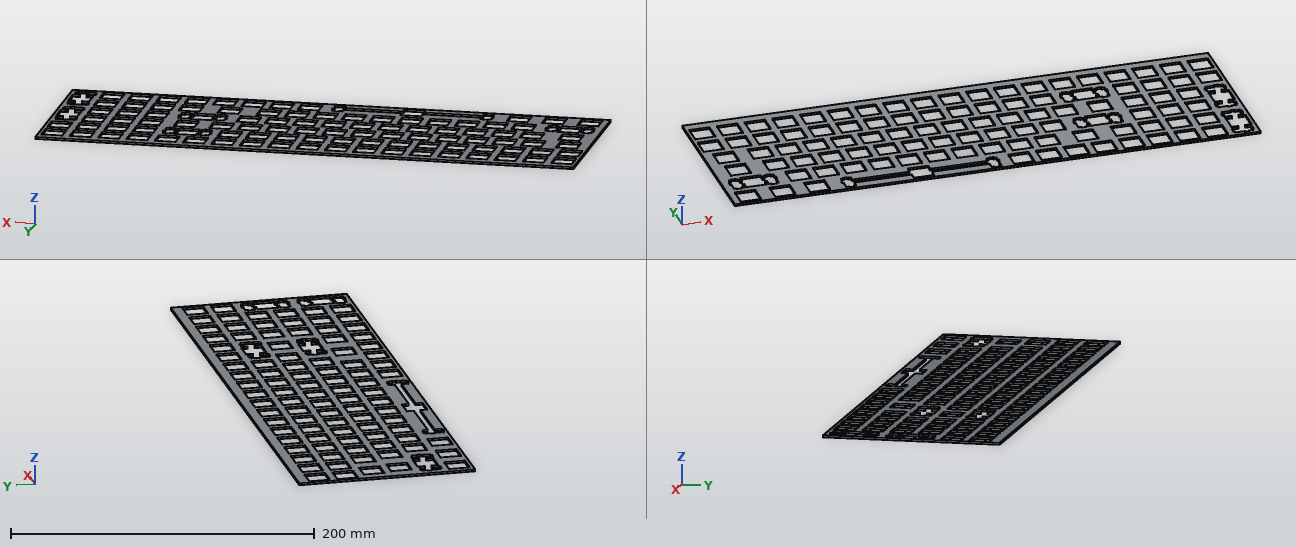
import cadquery as cq

PLATE_LENGTH = 362.0
UNITS_WIDE = 19
UNITS_DEEP = 6.25
UNIT = PLATE_LENGTH / UNITS_WIDE
PLATE_DEPTH = UNITS_DEEP * UNIT
THICKNESS = 1.5

WEB = 5.0
SWITCH_SIDE = UNIT - WEB
HALF_SWITCH = SWITCH_SIDE / 2

STABILIZER_OFFSET = 12.0
SPACEBAR_OFFSET = 50.0
HALF_WIRE_SLOT = 2.28
HOUSING_WIDTH = 7.0
HOUSING_TOP = HALF_SWITCH - 1.5
HOUSING_BOTTOM = 0.2 - HALF_SWITCH
NOTCH_WIDTH = 3.3
NOTCH_TOP = HALF_SWITCH - 0.55
NOTCH_BOTTOM = -HALF_SWITCH - 0.75
TAB_DEPTH = 0.85
TAB_TOP = HALF_WIRE_SLOT
TAB_BOTTOM = -0.5


def key_run(first, count):
    """Centres, in key units from the left edge, of neighbouring one-unit keys."""
    return [first + i for i in range(count)]


KEY_ROWS = [
    [0.625, 1.875, 3.125] + key_run(10.5, 8),
    key_run(2.75, 10) + [13.125] + key_run(14.5, 4),
    [0.875] + key_run(2.25, 11) + key_run(15.5, 3),
    [0.75] + key_run(2, 12) + [14.25] + key_run(15.5, 3),
    key_run(0.5, 13) + key_run(15.5, 4),
    key_run(0.5, 19),
]
FIRST_ROW = 0.5

STABILIZED_KEYS = [
    (14, 4.5, STABILIZER_OFFSET, 0),
    (13.875, 2.5, STABILIZER_OFFSET, 0),
    (1.125, 1.5, STABILIZER_OFFSET, 0),
    (6.875, 0.5, SPACEBAR_OFFSET, 0),
    (18.5, 3, STABILIZER_OFFSET, -90),
    (18.5, 1, STABILIZER_OFFSET, -90),
]


def block(left, right, bottom, top):
    """Cutter through the full plate thickness."""
    cutter = cq.Workplane("XY").box(right - left, top - bottom, THICKNESS, centered=False)
    return cutter.translate((left, bottom, 0))


def plate_position(across, up):
    """Plate coordinates of a place given in key units from the front left corner."""
    return (across * UNIT - PLATE_LENGTH / 2, up * UNIT - PLATE_DEPTH / 2)


def stabilizer_cutter(offset):
    """Switch opening joined by a wire slot to a stabilizer housing on either side."""
    outer = offset + HOUSING_WIDTH / 2
    right_side = (
        block(0, offset, -HALF_WIRE_SLOT, HALF_WIRE_SLOT)
        .union(block(offset - HOUSING_WIDTH / 2, outer, HOUSING_BOTTOM, HOUSING_TOP))
        .union(block(offset - NOTCH_WIDTH / 2, offset + NOTCH_WIDTH / 2, NOTCH_BOTTOM, NOTCH_TOP))
        .union(block(offset, outer + TAB_DEPTH, TAB_BOTTOM, TAB_TOP))
    )
    switch = block(-HALF_SWITCH, HALF_SWITCH, -HALF_SWITCH, HALF_SWITCH)
    return switch.union(right_side).union(right_side.mirror("YZ"))


plate = cq.Workplane("XY").box(PLATE_LENGTH, PLATE_DEPTH, THICKNESS, centered=(True, True, False))

switch_centres = [
    plate_position(across, FIRST_ROW + row)
    for row, keys in enumerate(KEY_ROWS)
    for across in keys
]
switches = cq.Workplane("XY").pushPoints(switch_centres).rect(SWITCH_SIDE, SWITCH_SIDE).extrude(THICKNESS)
result = plate.cut(switches)

for across, up, offset, turn in STABILIZED_KEYS:
    cutter = stabilizer_cutter(offset).rotate((0, 0, 0), (0, 0, 1), turn)
    result = result.cut(cutter.translate(plate_position(across, up)))